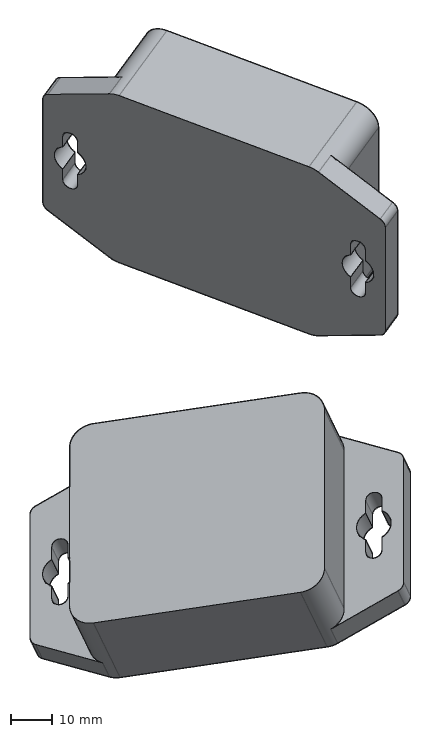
import cadquery as cq
import math

length = 94.0
depth = 25.0
height = 58.0

box_length = 64.1
box_corner_radius = 6.0

ear_thickness = 6.5
ear_slope = math.radians(26.0)
ear_corner_radius = 2.5

keyhole_offset = 39.5
keyhole_diameter = 8.65
slot_width = 4.0
slot_length = 19.1


def front_sketch():
    """Sketch on the front face; a negative extrusion runs back along +Y."""
    return cq.Workplane("XZ")


def make_box():
    box = front_sketch().rect(box_length, height).extrude(-depth)
    return box.edges("|Y").fillet(box_corner_radius)


def make_ear_plate():
    tangent_x = box_length / 2 - box_corner_radius * (1 - math.sin(ear_slope))
    tangent_z = height / 2 - box_corner_radius * (1 - math.cos(ear_slope))
    end_x = length / 2
    end_z = tangent_z - (end_x - tangent_x) * math.tan(ear_slope)
    outline = [
        (end_x, end_z),
        (tangent_x, tangent_z),
        (-tangent_x, tangent_z),
        (-end_x, end_z),
        (-end_x, -end_z),
        (-tangent_x, -tangent_z),
        (tangent_x, -tangent_z),
        (end_x, -end_z),
    ]
    plate = front_sketch().polyline(outline).close().extrude(-ear_thickness)
    outer_corners = plate.faces("<X or >X").edges("|Y")
    return outer_corners.fillet(ear_corner_radius)


def make_keyholes():
    centers = [(-keyhole_offset, 0), (keyhole_offset, 0)]
    openings = front_sketch().pushPoints(centers).circle(keyhole_diameter / 2).extrude(-ear_thickness)
    slots = front_sketch().pushPoints(centers).slot2D(slot_length, slot_width, 90).extrude(-ear_thickness)
    return openings.union(slots)


result = make_box().union(make_ear_plate()).cut(make_keyholes())